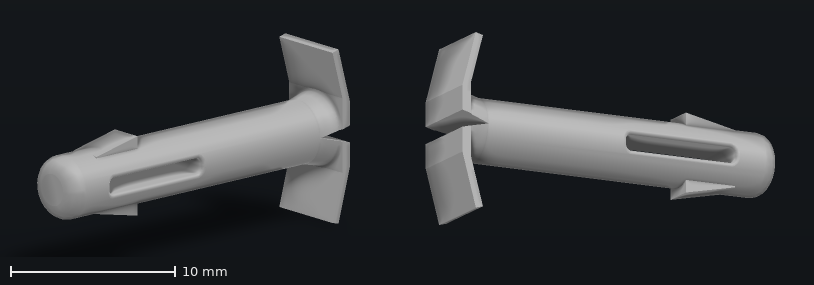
import cadquery as cq
import math

length = 22.0
head_width = 4.88
head_height = 11.0
pin_radius = 4.0 / 2

plate_thickness = 0.6
wing_thickness = 0.5
wing_angle = math.radians(15)
wing_bend_height = 2.35
notch_depth = pin_radius
notch_angle = math.radians(15)

neck_angle = math.radians(15)
neck_flare = 0.2

nose_radius = pin_radius / 2

slot_start = 11.48
slot_end = 19.0
slot_height = 1.0
slot_corner_radius = 0.4
slot_rim_radius = 0.2

barb_start = 16.0
barb_end = 19.34
barb_width = 2.07
barb_height = 2.5
barb_base = 1.32
barb_angle = math.radians(12)
barb_blend_radius = 1.0


def make_pin():
    """Solid of revolution: rounded tip, shaft, conical neck and flared root."""
    neck_front = -notch_depth
    flare_front = -(plate_thickness + neck_flare)
    cone_end_radius = pin_radius + (flare_front - neck_front) * math.tan(neck_angle)
    bulge = neck_flare * (1 - math.sqrt(0.5))
    profile = (
        cq.Workplane("XY")
        .moveTo(0, -length)
        .lineTo(pin_radius - nose_radius, -length)
        .radiusArc((pin_radius, nose_radius - length), -nose_radius)
        .lineTo(pin_radius, neck_front)
        .lineTo(cone_end_radius, flare_front)
        .threePointArc(
            (cone_end_radius + bulge, -plate_thickness - bulge),
            (cone_end_radius + neck_flare, -plate_thickness),
        )
        .lineTo(cone_end_radius + neck_flare, -plate_thickness / 2)
        .lineTo(0, -plate_thickness / 2)
        .close()
    )
    return profile.revolve(360, (0, 0, 0), (0, 1, 0))


def make_wing():
    """Upper half of the head plate, bent forwards at the wing angle."""
    tip_height = head_height / 2
    back_offset = plate_thickness - wing_thickness / math.cos(wing_angle)
    back_bend_height = wing_bend_height - back_offset / math.tan(wing_angle)
    tip_back = -(tip_height - back_bend_height) * math.tan(wing_angle)
    tip_front = tip_back - wing_thickness * math.cos(wing_angle)
    return (
        cq.Workplane("YZ")
        .moveTo(0, 0)
        .lineTo(0, back_bend_height)
        .lineTo(tip_back, tip_height)
        .lineTo(tip_front, tip_height - wing_thickness * math.sin(wing_angle))
        .lineTo(-plate_thickness, wing_bend_height)
        .lineTo(-plate_thickness, 0)
        .close()
        .extrude(head_width / 2, both=True)
    )


def make_notch():
    """V notch across the head, its apex on the pin axis."""
    half_height = notch_depth * math.tan(notch_angle)
    return (
        cq.Workplane("YZ")
        .polyline([(-notch_depth, 0), (0, half_height), (0, -half_height)])
        .close()
        .extrude(head_width, both=True)
    )


def make_slot():
    """Rounded-rectangle cutter running through the pin along X."""
    return (
        cq.Workplane("YZ")
        .center(-(slot_start + slot_end) / 2, 0)
        .rect(slot_end - slot_start, slot_height)
        .extrude(2 * pin_radius, both=True)
        .edges("|X")
        .fillet(slot_corner_radius)
    )


def make_barb():
    """Upper barb: a ramp blended into a length of pin, trimmed to the barb outline."""
    ramp_length = barb_height / math.tan(barb_angle)
    ramp_half_width = 0.75 * pin_radius
    ramp = (
        cq.Workplane("YZ")
        .polyline([(-barb_start, 0), (-barb_start, barb_height), (-barb_start - ramp_length, 0)])
        .close()
        .extrude(ramp_half_width, both=True)
    )
    core = cq.Workplane("XZ").circle(pin_radius).extrude(barb_start + 2 * ramp_length)
    blended = core.union(ramp).edges("%ELLIPSE").fillet(barb_blend_radius)
    barb_length = barb_end - barb_start
    outline = cq.Workplane("XY").box(barb_width, barb_length, barb_height, centered=(True, True, False))
    return blended.intersect(outline.translate((0, -(barb_start + barb_end) / 2, barb_base)))


slotted_pin = make_pin().cut(make_slot())
slot_rims = cq.selectors.BoxSelector(
    (-2 * pin_radius, -slot_end - slot_rim_radius, -slot_height),
    (2 * pin_radius, -slot_start + slot_rim_radius, slot_height),
)
rim_edges = slotted_pin.edges(slot_rims).edges("not |X")
result = rim_edges.fillet(slot_rim_radius)

for half in (make_wing(), make_barb()):
    result = result.union(half).union(half.mirror("XY"))

side_limit = cq.Workplane("XY").box(head_width, 2 * length, head_height)
result = result.intersect(side_limit).cut(make_notch())